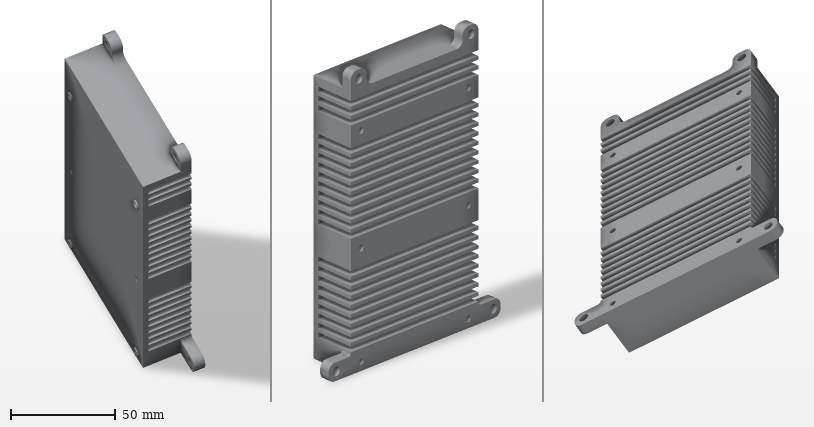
import cadquery as cq

total_height = 160.0
ear_span = 114.0
total_depth = 27.0

body_width = 84.5
boss_height = 1.0
body_depth = total_depth - boss_height

top_ear_width = 10.4
ear_height = 10.0
ear_thickness = 6.0
ear_corner_radius = 4.0
ear_hole_diameter = 5.0
top_ear_fillet = 3.7
side_ear_fillet = 1.6
body_height = total_height - ear_height

slot_depth = 23.0
slot_height = 3.0
first_slot_bottom = 12.0
run_spacing = 60.0
slots_per_run_spacing = 12
slot_pitch = run_spacing / slots_per_run_spacing
slot_runs = [range(0, 9), range(12, 22), range(24, 27)]

hole_column_spacing = 71.0
hole_diameter = 3.4
boss_diameter = 4.8
bottom_hole_z = 5.0
middle_hole_z = 65.0
top_hole_z = 127.2


def cylinder_along_y(x, z, diameter, y_start, y_end):
    """Cylinder parallel to Y between two depths."""
    length = y_end - y_start
    return cq.Workplane(cq.Solid.makeCylinder(
        diameter / 2, length, cq.Vector(x, y_start, z), cq.Vector(0, 1, 0)))


def corner_web(x, z, radius, x_direction):
    """Concave fillet filling the corner at (x, z), which opens upward and toward x_direction."""
    outline = (
        cq.Workplane("XZ")
        .moveTo(x, z)
        .lineTo(x + x_direction * radius, z)
        .radiusArc((x, z + radius), x_direction * radius)
    )
    return outline.close().extrude(ear_thickness)


def ear(x_min, z_min, length_x, length_z, rounded_edges):
    """Rectangular tab with its outer corners rounded."""
    tab = (
        cq.Workplane("XY")
        .box(length_x, ear_thickness, length_z, centered=False)
        .translate((x_min, -ear_thickness, z_min))
    )
    return tab.edges(rounded_edges).fillet(ear_corner_radius)


def cut_slots(body):
    """Cut the cooling slots across the full width from the rear face."""
    for run in slot_runs:
        for position in run:
            slot = (
                cq.Workplane("XY")
                .box(body_width, slot_depth, slot_height, centered=(True, False, False))
                .translate((0, -slot_depth, first_slot_bottom + position * slot_pitch))
            )
            body = body.cut(slot)
    return body


def right_hand_ears():
    """Top and side ears of the +X half, with their webs and screw holes."""
    side = body_width / 2
    tip = ear_span / 2
    top_ear = ear(side - top_ear_width, body_height, top_ear_width, ear_height, "|Y and >Z")
    side_ear = ear(side, 0, tip - side, ear_height, "|Y and >X")
    top_web = corner_web(side - top_ear_width, body_height, top_ear_fillet, -1)
    side_web = corner_web(side, ear_height, side_ear_fillet, 1)
    ears = [top_ear, side_ear, top_web, side_web]
    hole_centers = [
        (side - top_ear_width / 2, body_height + ear_height / 2),
        (tip - ear_height / 2, ear_height / 2),
    ]
    return ears, hole_centers


result = cut_slots(
    cq.Workplane("XY")
    .box(body_width, body_depth, body_height, centered=(True, False, False))
    .translate((0, -body_depth, 0))
)

ear_parts, ear_hole_centers = right_hand_ears()
for ear_part in ear_parts:
    result = result.union(ear_part).union(ear_part.mirror("YZ"))
for x, z in ear_hole_centers:
    for side_sign in (-1, 1):
        result = result.cut(cylinder_along_y(side_sign * x, z, ear_hole_diameter, -ear_thickness, 0))

for x in (-hole_column_spacing / 2, hole_column_spacing / 2):
    for z in (bottom_hole_z, top_hole_z):
        result = result.union(cylinder_along_y(x, z, boss_diameter, -total_depth, -body_depth))
    for z in (bottom_hole_z, middle_hole_z, top_hole_z):
        result = result.cut(cylinder_along_y(x, z, hole_diameter, -total_depth, 0))